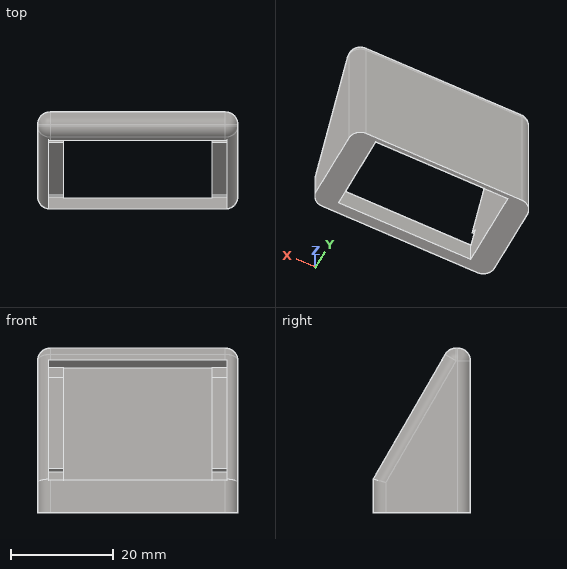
import cadquery as cq
import math

width = 39.0
depth = 18.95
height = 32.1
front_height = 6.6
lean_angle = 30.0
edge_radius = 2.5

wall = 2.2
back_wall = 0.95
side_block = 5.07
opening_bottom = 6.45
opening_top = 29.7
cavity_top = 28.25

ledge_depth = 1.35
notch_depth = 2.8
ledge_bottom = 8.65
ledge_top = 26.32

lean = math.radians(lean_angle)
recess_width = width - 2 * wall
cavity_width = width - 2 * side_block


def slope_point(z, inset=0.0):
    """Return (y, z) at height z on the plane set back by inset from the sloped face."""
    y = (z - front_height) * math.tan(lean) + inset / math.cos(lean)
    return (y, z)


def move_inward(point, distance):
    """Move a (y, z) point into the body, square to the sloped face."""
    y, z = point
    return (y + distance * math.cos(lean), z - distance * math.sin(lean))


def prism(outline, length):
    """Extrude a (y, z) outline along X, centred on X = 0."""
    return cq.Workplane("YZ").polyline(outline).close().extrude(length / 2, both=True)


def outer_body():
    outline = [(0, 0), (depth, 0), (depth, height), slope_point(height), (0, front_height)]
    return prism(outline, width).edges("not(<Z or (|X and <Y))").fillet(edge_radius)


def recess():
    """Stepped recess that leaves a raised ledge between two deeper notches."""
    step = notch_depth - ledge_depth
    upper_rim = slope_point(opening_top)
    lower_rim = slope_point(opening_bottom)
    upper_end = slope_point(ledge_top, ledge_depth)
    lower_end = slope_point(ledge_bottom, ledge_depth)
    outline = [
        move_inward(upper_rim, -wall),
        move_inward(upper_rim, notch_depth),
        move_inward(upper_end, step),
        upper_end,
        lower_end,
        move_inward(lower_end, step),
        move_inward(lower_rim, notch_depth),
        move_inward(lower_rim, -wall),
    ]
    return prism(outline, recess_width)


def cavity():
    """Open-bottomed space between the side blocks, reaching up to the recess."""
    inner_back = depth - back_wall
    upper_rim = slope_point(opening_top)
    lower_rim = slope_point(opening_bottom)
    ceiling_inset = (opening_top - cavity_top) / math.sin(lean)
    sill_inset = (wall - lower_rim[0]) / math.cos(lean)
    outline = [
        (wall, 0),
        (inner_back, 0),
        (inner_back, cavity_top),
        move_inward(upper_rim, ceiling_inset),
        upper_rim,
        lower_rim,
        move_inward(lower_rim, sill_inset),
    ]
    return prism(outline, cavity_width)


result = outer_body().cut(recess()).cut(cavity())